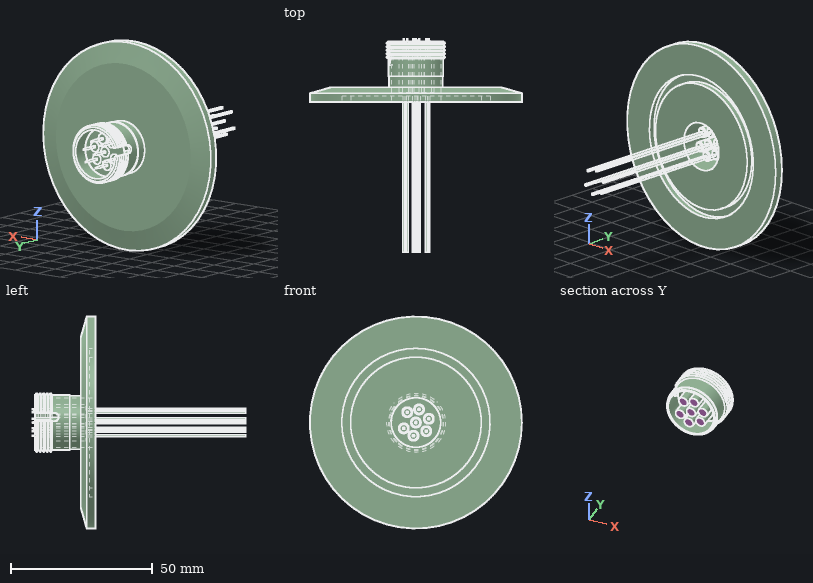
import cadquery as cq
import math

flange_diameter = 74.9
flange_radius = flange_diameter / 2
flange_rim = 3.2
flange_thickness = 5.3
flange_hub_radius = 30.1
groove_outer_radius = 26.2
groove_inner_radius = 23.1
groove_depth = 2.3

collar_radius = 9.5
collar_end = 9.2
body_radius = 9.7
body_end = 21.4
bore_radius = 8.75
membrane_end = 16.0
membrane_thickness = 0.15

thread_count = 5
thread_length = 6.2
thread_pitch = thread_length / thread_count
thread_height = 0.7

key_angle = 168.0
key_width = 3.0
key_depth = 8.4

total_length = 75.45
contact_end = 22.4
wire_end = contact_end - total_length
contact_radius = 0.4
contact_tip_radius = 0.15
contact_tip_length = 1.9
contact_circle_radius = 4.75
contact_offsets = (38.0, 91.5, 152.0)
sleeve_radius = 1.8
sleeve_start = 3.1
sleeve_chamfer = 0.4


def cylinder(radius, start, end, x=0.0, z=0.0):
    """Solid cylinder along Y between two axial positions."""
    axis_start = cq.Vector(x, start, z)
    return cq.Workplane(cq.Solid.makeCylinder(radius, end - start, axis_start, cq.Vector(0, 1, 0)))


def tube(outer_radius, inner_radius, start, end, x=0.0, z=0.0):
    """Hollow cylinder along Y between two axial positions."""
    return cylinder(outer_radius, start, end, x, z).cut(cylinder(inner_radius, start, end, x, z))


def revolve_about_y(points):
    """Revolve an outline of (radius, axial position) points about the Y axis."""
    return cq.Workplane("XY").polyline(points).close().revolve(360, (0, 0, 0), (0, 1, 0))


def make_flange():
    """Round flange with a tapered back and a ring groove in its front face."""
    flange = revolve_about_y([
        (0, 0),
        (flange_radius, 0),
        (flange_radius, flange_rim),
        (flange_hub_radius, flange_thickness),
        (0, flange_thickness),
    ])
    return flange.cut(tube(groove_outer_radius, groove_inner_radius, 0, groove_depth))


def make_thread_ridge(crest):
    """One V-shaped ridge around the body, with its crest at the given axial position."""
    half_width = thread_pitch / 2
    return revolve_about_y([
        (bore_radius, crest - half_width),
        (body_radius, crest - half_width),
        (body_radius + thread_height, crest),
        (body_radius, crest + half_width),
        (bore_radius, crest + half_width),
    ])


def make_key_slot():
    """Round-ended slot through the wall of the body, open at the threaded end."""
    end_center = body_end - key_depth + key_width / 2
    reach = 2 * body_radius
    slot = cq.Workplane("XY").box(reach, body_end - end_center, key_width, centered=(False, False, True))
    slot = slot.translate((0, end_center, 0))
    slot_end = cq.Workplane("YZ").center(end_center, 0).circle(key_width / 2).extrude(reach)
    return slot.union(slot_end).rotate((0, 0, 0), (0, 1, 0), -key_angle)


def make_shell():
    """Flange, collar and threaded body, bored through and slotted."""
    shell = make_flange()
    shell = shell.union(cylinder(collar_radius, 0, collar_end))
    shell = shell.union(cylinder(body_radius, collar_end, body_end))
    for index in range(thread_count):
        shell = shell.union(make_thread_ridge(body_end - (index + 0.5) * thread_pitch))
    shell = shell.cut(cylinder(bore_radius, 0, body_end))
    return shell.cut(make_key_slot())


def contact_positions():
    """Centre contact, and pairs placed symmetrically about the key direction."""
    positions = [(0.0, 0.0)]
    for offset in contact_offsets:
        for side in (-1, 1):
            angle = math.radians(key_angle + side * offset)
            x = contact_circle_radius * math.cos(angle)
            z = contact_circle_radius * math.sin(angle)
            positions.append((x, z))
    return positions


def make_contact(x, z):
    """Long wire whose far end tapers to a narrow tip behind the threaded end."""
    contact = cylinder(contact_radius, wire_end, contact_end - contact_tip_length, x, z)
    tip = cq.Solid.makeCone(
        contact_radius,
        contact_tip_radius,
        contact_tip_length,
        cq.Vector(x, contact_end - contact_tip_length, z),
        cq.Vector(0, 1, 0),
    )
    return contact.union(cq.Workplane(tip))


def make_sleeve(x, z):
    """Solid sleeve around a contact, standing on the membrane, with a chamfered front edge."""
    return cylinder(sleeve_radius, sleeve_start, membrane_end, x, z).faces("<Y").chamfer(sleeve_chamfer)


result = make_shell().union(cylinder(bore_radius, membrane_end - membrane_thickness, membrane_end))
for contact_x, contact_z in contact_positions():
    result = result.union(make_sleeve(contact_x, contact_z))
    result = result.union(make_contact(contact_x, contact_z))